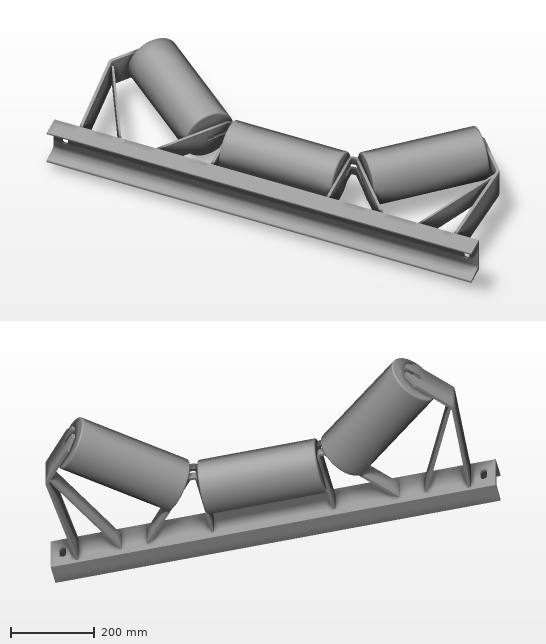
import cadquery as cq
import math

BEAM_LENGTH = 1100.0
BEAM_HEIGHT = 100.0
BEAM_DEPTH = 50.0
WEB_THICKNESS = 6.0
FLANGE_THICKNESS = 9.0
FLANGE_SLOPE = 0.08
ROOT_RADIUS = 9.0
TOE_RADIUS = 4.0
BOLT_SLOT_LENGTH = 35.0
BOLT_SLOT_WIDTH = 15.0
BOLT_SLOT_INSET = 30.0

ROLLER_DIAMETER = 133.0
ROLLER_LENGTH = 292.0
ROLLER_RIM_RADIUS = 4.0
MIDDLE_ROLLER_Y = 166.0
SIDE_ROLLER_X = 315.0
SIDE_ROLLER_Y = 279.0
TROUGH_ANGLE = 40.0
SHAFT_DIAMETER = 22.0
SHAFT_FLAT_WIDTH = 14.0
SHAFT_OVERHANG = 8.0

SIDE_GAP = 3.0
OUTER_WIDTH = 80.0
OUTER_THICKNESS = 8.0
OUTER_TIP_RISE = 33.0
TIP_CHAMFER_RISE = 30.0
TIP_CHAMFER_WIDTH = 19.0
OUTER_FOOT_X = 488.0
OUTER_BEND_X = 506.0
OUTER_BEND_RADIUS = 16.0
INNER_WIDTH = 55.0
INNER_THICKNESS = 7.0
INNER_TOP_Y = 221.0
INNER_BEND_RADIUS = 10.0
MIDDLE_GAP = 1.0
BRACE_WIDTH = 55.0
BRACE_THICKNESS = 5.0
BRACE_FOOT_X = 377.0
BRACE_TOP_X = 495.0
BRACE_TOP_Y = 290.0

TROUGH = math.radians(TROUGH_ANGLE)
SIDE_STRAP_OFFSET = ROLLER_LENGTH / 2 + SIDE_GAP
EAST = 1
WEST = -1


def side_point(along, rise):
    """XY point at a distance outward along the +X roller's axis and a rise square to that axis."""
    x = SIDE_ROLLER_X + along * math.cos(TROUGH) - rise * math.sin(TROUGH)
    y = SIDE_ROLLER_Y + along * math.sin(TROUGH) + rise * math.cos(TROUGH)
    return (x, y)


def plate(outline, width):
    """Plate with the given XY outline, centred on Z = 0."""
    return cq.Workplane("XY", origin=(0, 0, -width / 2)).polyline(outline).close().extrude(width)


def round_edge(body, point, radius):
    """Round the edge that runs along Z through an XY point of a plate."""
    return body.edges(cq.NearestToPointSelector((*point, 0))).fillet(radius)


def bar(radius, length):
    """Round bar along X, centred at the origin."""
    return cq.Workplane("YZ", origin=(-length / 2, 0, 0)).circle(radius).extrude(length)


def on_side(body, side):
    """The +X body itself, or its mirror image for the -X side."""
    return body if side == EAST else body.mirror("YZ")


def make_beam():
    """Channel with tapered flanges and an upright bolt slot near each end."""
    half = BEAM_HEIGHT / 2
    web_face = BEAM_DEPTH - WEB_THICKNESS
    taper = FLANGE_SLOPE * BEAM_DEPTH / 2
    toe_z = half - FLANGE_THICKNESS + taper
    root_z = toe_z - FLANGE_SLOPE * web_face
    beam = (
        cq.Workplane("YZ", origin=(-BEAM_LENGTH / 2, 0, 0))
        .polyline([
            (BEAM_DEPTH, -half), (BEAM_DEPTH, half), (0, half), (0, toe_z),
            (web_face, root_z), (web_face, -root_z), (0, -toe_z), (0, -half),
        ])
        .close()
        .extrude(BEAM_LENGTH)
    )
    for z in (toe_z, -toe_z):
        beam = beam.edges(cq.NearestToPointSelector((0, 0, z))).fillet(TOE_RADIUS)
    for z in (root_z, -root_z):
        beam = beam.edges(cq.NearestToPointSelector((0, web_face, z))).fillet(ROOT_RADIUS)
    slot_x = BEAM_LENGTH / 2 - BOLT_SLOT_INSET
    slots = (
        cq.Workplane("XZ")
        .pushPoints([(-slot_x, 0), (slot_x, 0)])
        .slot2D(BOLT_SLOT_LENGTH, BOLT_SLOT_WIDTH, 90)
        .extrude(-BEAM_DEPTH)
    )
    return beam.cut(slots)


def make_roller():
    """Roller along X, centred at the origin, with a flatted shaft end at each side."""
    drum = bar(ROLLER_DIAMETER / 2, ROLLER_LENGTH)
    drum = drum.faces("<X or >X").edges().fillet(ROLLER_RIM_RADIUS)
    shaft_length = ROLLER_LENGTH + 2 * SHAFT_OVERHANG
    shaft = bar(SHAFT_DIAMETER / 2, shaft_length)
    flats = cq.Workplane("XY").box(shaft_length, SHAFT_DIAMETER, SHAFT_FLAT_WIDTH)
    return drum.union(shaft.intersect(flats))


def make_side_roller(side):
    """Roller raised by the trough angle towards the given end of the beam."""
    roller = (
        make_roller()
        .rotate((0, 0, 0), (0, 0, 1), TROUGH_ANGLE)
        .translate((SIDE_ROLLER_X, SIDE_ROLLER_Y, 0))
    )
    return on_side(roller, side)


def make_shaft_slot(depth):
    """Cutter that fits the flatted shaft from below and is open towards +Y, centred at the origin."""
    radius = SHAFT_DIAMETER / 2
    half_width = SHAFT_FLAT_WIDTH / 2
    arc_end = -math.sqrt(radius**2 - half_width**2)
    top = ROLLER_DIAMETER / 2
    return (
        cq.Workplane("YZ", origin=(-depth / 2, 0, 0))
        .moveTo(top, half_width)
        .lineTo(arc_end, half_width)
        .threePointArc((-radius, 0), (arc_end, -half_width))
        .lineTo(top, -half_width)
        .close()
        .extrude(depth)
    )


def place_at_side(cutter, along):
    """Move a cutter made at the origin onto the +X roller's axis, turned to match it."""
    x, y = side_point(along, 0)
    return cutter.rotate((0, 0, 0), (0, 0, 1), TROUGH_ANGLE).translate((x, y, 0))


def make_tip_corners():
    """Two wedges that bevel the corners of an outer bracket's tip."""
    shoulder_rise = OUTER_TIP_RISE - TIP_CHAMFER_RISE
    depth = 4 * OUTER_THICKNESS
    wedges = cq.Workplane("YZ", origin=(-depth / 2, 0, 0))
    for sign in (1, -1):
        edge_z = sign * OUTER_WIDTH / 2
        tip_z = edge_z - sign * TIP_CHAMFER_WIDTH
        wedges = wedges.polyline(
            [(OUTER_TIP_RISE, tip_z), (OUTER_TIP_RISE, edge_z), (shoulder_rise, edge_z)]
        ).close()
    return wedges.extrude(depth)


def make_outer_bracket(side):
    """Bent strap: leaning leg on the beam, upper end slotted for the side roller's shaft."""
    near = SIDE_STRAP_OFFSET
    far = near + OUTER_THICKNESS

    def bend_point(along, x):
        rise = (SIDE_ROLLER_X + along * math.cos(TROUGH) - x) / math.sin(TROUGH)
        return side_point(along, rise)

    outer_bend = bend_point(far, OUTER_BEND_X)
    inner_bend = bend_point(near, OUTER_BEND_X - OUTER_THICKNESS)
    strap = plate(
        [
            side_point(near, OUTER_TIP_RISE), side_point(far, OUTER_TIP_RISE), outer_bend,
            (OUTER_FOOT_X, BEAM_DEPTH), (OUTER_FOOT_X - OUTER_THICKNESS, BEAM_DEPTH), inner_bend,
        ],
        OUTER_WIDTH,
    )
    strap = round_edge(strap, outer_bend, OUTER_BEND_RADIUS)
    strap = round_edge(strap, inner_bend, OUTER_BEND_RADIUS - OUTER_THICKNESS)
    strap = strap.cut(place_at_side(make_shaft_slot(4 * OUTER_THICKNESS), near))
    strap = strap.cut(place_at_side(make_tip_corners(), near))
    return on_side(strap, side)


def make_inner_bracket(side):
    """Folded strap: upright leg at the middle roller, short top, sloping leg at the side roller."""
    near = ROLLER_LENGTH / 2 + MIDDLE_GAP
    far = near + INNER_THICKNESS
    slope_near = SIDE_STRAP_OFFSET
    slope_far = SIDE_STRAP_OFFSET + INNER_THICKNESS
    under_y = INNER_TOP_Y - INNER_THICKNESS

    def slope_point(along, y):
        rise = (y - SIDE_ROLLER_Y + along * math.sin(TROUGH)) / math.cos(TROUGH)
        return side_point(-along, rise)

    strap = plate(
        [
            (near, BEAM_DEPTH), (near, INNER_TOP_Y), slope_point(slope_near, INNER_TOP_Y),
            slope_point(slope_near, BEAM_DEPTH), slope_point(slope_far, BEAM_DEPTH),
            slope_point(slope_far, under_y), (far, under_y), (far, BEAM_DEPTH),
        ],
        INNER_WIDTH,
    )
    strap = round_edge(strap, (near, INNER_TOP_Y), INNER_BEND_RADIUS)
    strap = round_edge(strap, (far, under_y), INNER_BEND_RADIUS - INNER_THICKNESS)
    depth = 4 * INNER_THICKNESS
    strap = strap.cut(make_shaft_slot(depth).translate((near, MIDDLE_ROLLER_Y, 0)))
    strap = strap.cut(place_at_side(make_shaft_slot(depth), -slope_near))
    return on_side(strap, side)


def make_brace(side, bracket):
    """Slanted flat bar from the beam to the bend of the outer bracket, trimmed to fit it."""
    run = BRACE_TOP_X - BRACE_FOOT_X
    rise = BRACE_TOP_Y - BEAM_DEPTH
    half_foot = BRACE_THICKNESS / 2 * math.hypot(run, rise) / rise
    brace = plate(
        [
            (BRACE_FOOT_X - half_foot, BEAM_DEPTH), (BRACE_FOOT_X + half_foot, BEAM_DEPTH),
            (BRACE_TOP_X + half_foot, BRACE_TOP_Y), (BRACE_TOP_X - half_foot, BRACE_TOP_Y),
        ],
        BRACE_WIDTH,
    )
    return on_side(brace, side).cut(bracket)


beam = make_beam()
middle_roller = make_roller().translate((0, MIDDLE_ROLLER_Y, 0))
bodies = [beam.val(), middle_roller.val()]
for side in (WEST, EAST):
    outer_bracket = make_outer_bracket(side)
    bodies.append(make_side_roller(side).val())
    bodies.append(outer_bracket.val())
    bodies.append(make_inner_bracket(side).val())
    bodies.append(make_brace(side, outer_bracket).val())

result = cq.Compound.makeCompound(bodies)